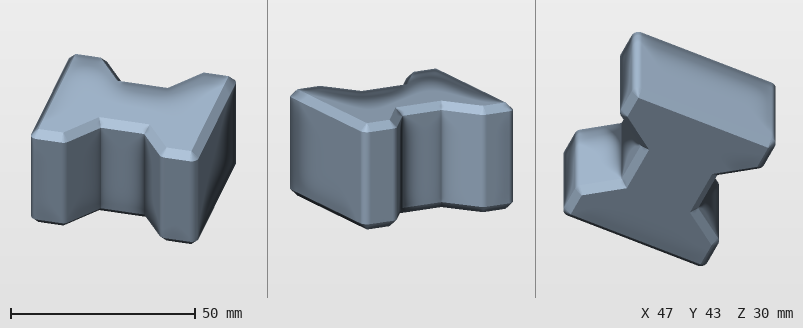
import cadquery as cq

length = 47.0
width = 43.0
height = 30.0

bevel = 2.0
bevel_angle = 45.0

notch_depth = 10.0
face_floor_width = 14.2
face_mouth_width = 28.95

face_x = length / 2 - bevel
face_y = width / 2 - bevel
floor_y = face_y - notch_depth
floor_x = face_floor_width / 2
mouth_x = face_mouth_width / 2


def face_outline(z):
    """Sharp-cornered face with a notch at the front and back, at height z."""
    back = [
        (face_x, face_y),
        (mouth_x, face_y),
        (floor_x, floor_y),
        (-floor_x, floor_y),
        (-mouth_x, face_y),
        (-face_x, face_y),
    ]
    front = [(-x, -y) for x, y in back]
    return cq.Workplane("XY", origin=(0, 0, z)).polyline(back + front).close()


body_height = height - 2 * bevel
body = face_outline(-body_height / 2).offset2D(bevel, "arc").extrude(body_height)

top_bevel = face_outline(height / 2).extrude(-bevel, taper=-bevel_angle)
bottom_bevel = top_bevel.mirror("XY")

result = body.union(top_bevel).union(bottom_bevel)